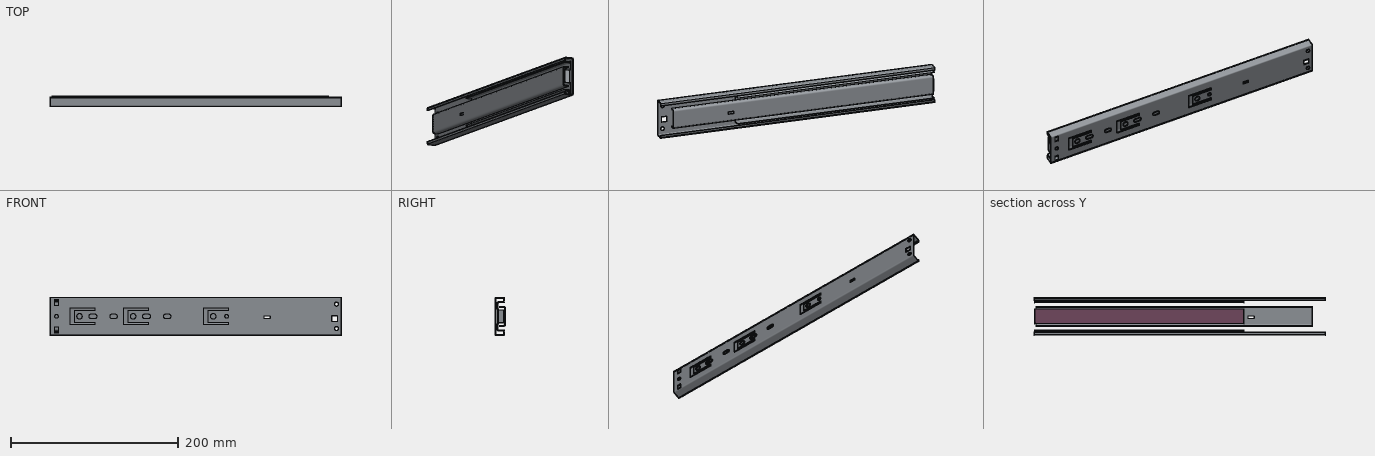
import cadquery as cq

LENGTH = 348.0
HEIGHT = 45.5
SHEET = 1.22

MIDDLE_TIP_Y = 11.5
TIP_SETBACK = 0.15
OUTER_DEPTH = MIDDLE_TIP_Y + TIP_SETBACK
OUTER_BEND = 1.55
OUTER_LIP = 4.0

MIDDLE_START_X = 0.7
MIDDLE_END_X = 250.5
MIDDLE_WEB_Y = 2.5
MIDDLE_HEIGHT = 35.0
MIDDLE_BEND = 2.25
MIDDLE_TIP_BEND = 1.7
GROOVE_DEPTH = 0.52
GROOVE_MOUTH = 20.5
GROOVE_FLOOR = 16.0
STOP_TAB_HEIGHT = 15.3
STOP_TAB_GAP = 0.87

INNER_START_X = 2.0
INNER_END_X = 332.5
INNER_PROTRUSION = 1.0
INNER_BACK_Y = OUTER_DEPTH + INNER_PROTRUSION
INNER_WEB_Y = INNER_BACK_Y - SHEET
INNER_TIP_Y = 5.5
INNER_HEIGHT = 24.0
INNER_BEND = 2.5

SLOTTED_TONGUE_SHIFTS = (0.0, 64.0)
LAST_TONGUE_SHIFT = 159.7
TONGUE_SHIFTS = (*SLOTTED_TONGUE_SHIFTS, LAST_TONGUE_SHIFT)
FRAME_START_X = 23.5
FRAME_END_X = 53.5
FRAME_HEIGHT = 20.0
TONGUE_START_X = 29.0
TONGUE_HEIGHT = 14.3
TONGUE_HOLE_X = 35.0
TONGUE_HOLE_DIAMETER = 6.5
TONGUE_SLOT_X = 51.0
TONGUE_SLOT_LENGTH = 9.7
TONGUE_SLOT_WIDTH = 5.2
LAST_TONGUE_SMALL_HOLE_X = TONGUE_SLOT_X + LAST_TONGUE_SHIFT
SMALL_HOLE_DIAMETER = 4.5

PLAIN_SLOT_X = 76.0
PLAIN_SLOT_LENGTH = 9.0
END_HOLE_X = 7.5
END_WINDOW_Z = 16.5
END_WINDOW_WIDTH = 4.5
END_WINDOW_HEIGHT = 7.0
FAR_HOLE_X = 342.0
FAR_HOLE_Z = 14.5
SQUARE_X = 340.0
SQUARE_Z = -2.8
SQUARE_SIDE = 6.5

LATCH_X = 259.3
LATCH_Z = -1.0
LATCH_LENGTH = 7.0
LATCH_HEIGHT = 2.8


def block(x_range, y_range, height):
    """Box between two X and two Y values, centred on Z = 0."""
    x_size = x_range[1] - x_range[0]
    y_size = y_range[1] - y_range[0]
    corner = (x_range[0], y_range[0], -height / 2)
    return cq.Workplane("XY").box(x_size, y_size, height, centered=False).translate(corner)


def channel(x_range, web_y, tip_y, height, bend, lip=SHEET, tip_bend=0.0):
    """Bent C-section along X: a web at web_y, and flanges that reach to tip_y and may end in lips."""
    toward_tip = 1 if tip_y > web_y else -1
    web_side, tip_side = ("<Y", ">Y") if toward_tip > 0 else (">Y", "<Y")
    inside_web_y = web_y + toward_tip * SHEET
    inside_tip_y = tip_y - toward_tip * SHEET

    body = block(x_range, sorted((web_y, tip_y)), height)
    body = body.faces(web_side).edges("|X").fillet(bend)
    if tip_bend > 0:
        body = body.faces(tip_side).edges("|X").fillet(tip_bend)
    cavity = block(x_range, sorted((inside_web_y, inside_tip_y)), height - 2 * SHEET)
    cavity = cavity.faces(web_side).edges("|X").fillet(bend - SHEET)
    mouth = block(x_range, sorted((inside_tip_y, tip_y)), height - 2 * lip)
    return body.cut(cavity).cut(mouth)


def web_cutter(sketch_plane, web_y):
    """Prism of the sketched outlines that passes through a web whose lower Y face is at web_y."""
    return sketch_plane.extrude(-SHEET).translate((0, web_y, 0))


def round_holes(centers, diameter):
    plane = cq.Workplane("XZ").pushPoints(centers).circle(diameter / 2)
    return web_cutter(plane, 0)


def slots(centers, length, width):
    plane = cq.Workplane("XZ").pushPoints(centers).slot2D(length, width)
    return web_cutter(plane, 0)


def rectangles(centers, length, height, web_y=0.0):
    plane = cq.Workplane("XZ").pushPoints(centers).rect(length, height)
    return web_cutter(plane, web_y)


def tongue_frame(shift):
    """U-shaped slot that leaves a tongue joined to the web at its +X end."""
    web = (0, SHEET)
    frame = block((FRAME_START_X + shift, FRAME_END_X + shift), web, FRAME_HEIGHT)
    tongue = block((TONGUE_START_X + shift, FRAME_END_X + shift), web, TONGUE_HEIGHT)
    return frame.cut(tongue)


def make_outer_member():
    member = channel(
        (0, LENGTH), 0, OUTER_DEPTH, HEIGHT, OUTER_BEND, lip=OUTER_LIP, tip_bend=OUTER_BEND
    )
    for shift in TONGUE_SHIFTS:
        member = member.cut(tongue_frame(shift))

    tongue_holes = [(TONGUE_HOLE_X + shift, 0) for shift in TONGUE_SHIFTS]
    tongue_slots = [(TONGUE_SLOT_X + shift, 0) for shift in SLOTTED_TONGUE_SHIFTS]
    plain_slots = [(PLAIN_SLOT_X + shift, 0) for shift in SLOTTED_TONGUE_SHIFTS]
    small_holes = [
        (END_HOLE_X, 0),
        (LAST_TONGUE_SMALL_HOLE_X, 0),
        (FAR_HOLE_X, FAR_HOLE_Z),
        (FAR_HOLE_X, -FAR_HOLE_Z),
    ]
    end_windows = [(END_HOLE_X, END_WINDOW_Z), (END_HOLE_X, -END_WINDOW_Z)]

    member = member.cut(round_holes(tongue_holes, TONGUE_HOLE_DIAMETER))
    member = member.cut(round_holes(small_holes, SMALL_HOLE_DIAMETER))
    member = member.cut(slots(tongue_slots, TONGUE_SLOT_LENGTH, TONGUE_SLOT_WIDTH))
    member = member.cut(slots(plain_slots, PLAIN_SLOT_LENGTH, TONGUE_SLOT_WIDTH))
    member = member.cut(rectangles(end_windows, END_WINDOW_WIDTH, END_WINDOW_HEIGHT))
    member = member.cut(rectangles([(SQUARE_X, SQUARE_Z)], SQUARE_SIDE, SQUARE_SIDE))
    return member.cut(rectangles([(LATCH_X, LATCH_Z)], LATCH_LENGTH, LATCH_HEIGHT))


def groove_prism(mouth_y):
    """Trapezoidal prism along the middle member, narrowing from mouth_y toward +Y."""
    floor_y = mouth_y + GROOVE_DEPTH
    outline = [
        (mouth_y, -GROOVE_MOUTH / 2),
        (floor_y, -GROOVE_FLOOR / 2),
        (floor_y, GROOVE_FLOOR / 2),
        (mouth_y, GROOVE_MOUTH / 2),
    ]
    plane = cq.Workplane("YZ", origin=(MIDDLE_START_X, 0, 0))
    return plane.polyline(outline).close().extrude(MIDDLE_END_X - MIDDLE_START_X)


def make_middle_member():
    member = channel(
        (MIDDLE_START_X, MIDDLE_END_X),
        MIDDLE_WEB_Y,
        MIDDLE_TIP_Y,
        MIDDLE_HEIGHT,
        MIDDLE_BEND,
        tip_bend=MIDDLE_TIP_BEND,
    )
    member = member.union(groove_prism(MIDDLE_WEB_Y + SHEET))
    member = member.cut(groove_prism(MIDDLE_WEB_Y))
    tab_y = (MIDDLE_WEB_Y + GROOVE_DEPTH, INNER_WEB_Y - STOP_TAB_GAP)
    tab = block((MIDDLE_START_X, MIDDLE_START_X + SHEET), tab_y, STOP_TAB_HEIGHT)
    return member.union(tab)


def make_inner_member():
    member = channel(
        (INNER_START_X, INNER_END_X), INNER_BACK_Y, INNER_TIP_Y, INNER_HEIGHT, INNER_BEND
    )
    return member.cut(rectangles([(LATCH_X, LATCH_Z)], LATCH_LENGTH, LATCH_HEIGHT, INNER_WEB_Y))


outer_member = make_outer_member().solids()
middle_member = make_middle_member().solids()
inner_member = make_inner_member().solids()

result = cq.Compound.makeCompound([outer_member.val(), middle_member.val(), inner_member.val()])